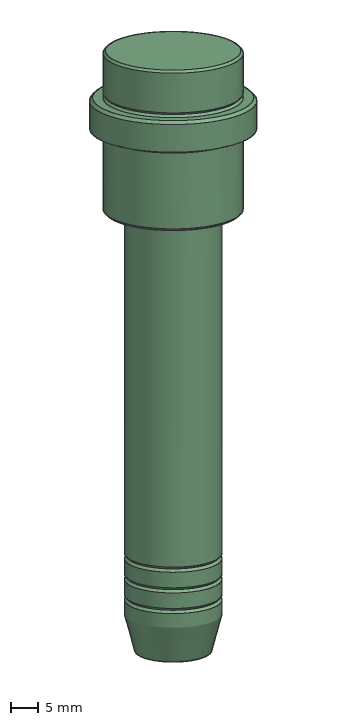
import cadquery as cq
import math

total_length = 116.0
shaft_radius = 9.0
head_radius = 13.0
flange_radius = 31.0 / 2

flange_top = 107.0
flange_bottom = 101.0
collar_bottom = 85.0
edge_chamfer = 0.5
flange_chamfer = 0.6
shaft_chamfer = 1.0

relief_depth = 0.5

groove_count = 3
ring_groove_width = 1.0
ring_groove_depth = ring_groove_width / 2
groove_pitch = 4 * ring_groove_width
lowest_groove_height = 10.5

taper_height = 7.3
taper_angle = math.radians(15)
tip_fillet = 0.6
tip_radius = shaft_radius - taper_height * math.tan(taper_angle)


def cylinder(radius, bottom, top):
    return cq.Workplane("XY").workplane(offset=bottom).circle(radius).extrude(top - bottom)


def make_shaft():
    """Shaft with a chamfered upper end and a rounded conical lead-in."""
    body = cylinder(shaft_radius, taper_height, collar_bottom).faces(">Z").chamfer(shaft_chamfer)
    lead_in = (
        cq.Workplane("XY")
        .circle(tip_radius)
        .workplane(offset=taper_height)
        .circle(shaft_radius)
        .loft(ruled=True)
        .faces("<Z")
        .fillet(tip_fillet)
    )
    return body.union(lead_in)


def make_ring(ring_radius, height, groove_depth):
    """Ring of diamond section about Z, used to cut a groove."""
    return cq.Workplane("XZ").center(ring_radius, height).polygon(4, 2 * groove_depth).revolve(
        360, (-ring_radius, 0), (-ring_radius, 1)
    )


def make_head():
    """Head, flange and collar with a relief groove on each side of the flange."""
    head = cylinder(head_radius, flange_top, total_length).faces(">Z").chamfer(edge_chamfer)
    flange = cylinder(flange_radius, flange_bottom, flange_top).faces(">Z").chamfer(flange_chamfer)
    collar = cylinder(head_radius, collar_bottom, flange_bottom).faces("<Z").chamfer(edge_chamfer)
    body = head.union(flange).union(collar)
    for height in (flange_top + relief_depth, flange_bottom - relief_depth):
        body = body.cut(make_ring(head_radius, height, relief_depth))
    return body


shaft = make_shaft()
for index in range(groove_count):
    groove_height = lowest_groove_height + index * groove_pitch
    shaft = shaft.cut(make_ring(shaft_radius, groove_height, ring_groove_depth))

result = shaft.union(make_head())